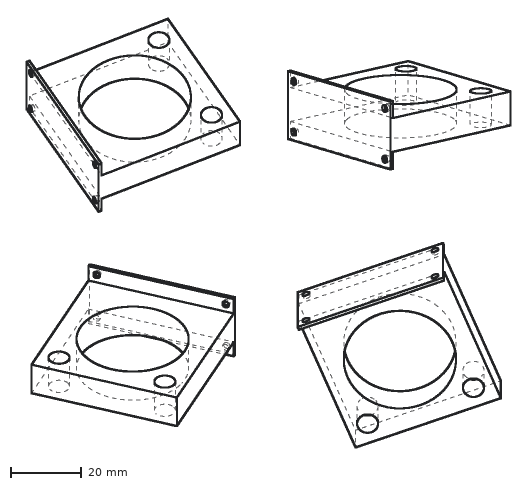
import cadquery as cq

block_side = 44.45
block_height = 10.0
bore_diameter = 31.95

corner_hole_diameter = 6.0
corner_hole_offset = 16.2

plate_thickness = 1.0
plate_height = 2 * block_height
plate_hole_diameter = 2.0
plate_hole_inset = 2.5


def make_block():
    """Block centred on the bore axis, with its vertical holes."""
    corner_holes = [
        (-corner_hole_offset, corner_hole_offset),
        (corner_hole_offset, corner_hole_offset),
    ]
    return (
        cq.Workplane("XY")
        .box(block_side, block_side, block_height)
        .faces(">Z")
        .workplane(origin=(0, 0, 0))
        .hole(bore_diameter)
        .faces(">Z")
        .workplane(origin=(0, 0, 0))
        .pushPoints(corner_holes)
        .hole(corner_hole_diameter)
    )


def make_plate():
    """Thin plate against the front of the block, with four screw holes."""
    plate_center_y = -(block_side + plate_thickness) / 2
    hole_spacing_x = block_side - 2 * plate_hole_inset
    hole_spacing_z = plate_height - 2 * plate_hole_inset
    return (
        cq.Workplane("XY")
        .box(block_side, plate_thickness, plate_height)
        .faces("<Y")
        .workplane()
        .rarray(hole_spacing_x, hole_spacing_z, 2, 2)
        .hole(plate_hole_diameter)
        .translate((0, plate_center_y, 0))
    )


result = make_block().union(make_plate())